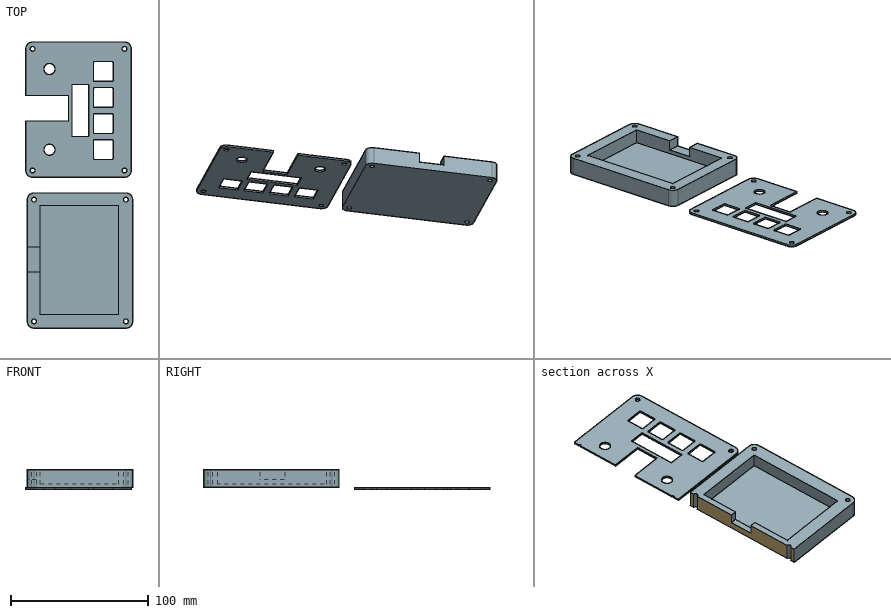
import cadquery as cq

WIDTH = 77.0
LENGTH = 98.6
CORNER_RADIUS = 5.0
SCREW_HOLE_DIAMETER = 3.3
SCREW_INSET = CORNER_RADIUS

CASE_HEIGHT = 13.0
POCKET_DEPTH = 10.2
POCKET_WIDTH = 57.1
POCKET_LENGTH = 79.2
POCKET_LEFT_WALL = 9.4
POCKET_OFFSET_Y = 0.5
NOTCH_LENGTH = 18.3
NOTCH_DEPTH = 7.3
CASE_NOTCH_OFFSET_Y = 0.8

PLATE_THICKNESS = 1.5
OVERALL_LENGTH = 208.5
PLATE_X = -1.0
PLATE_Y = OVERALL_LENGTH - LENGTH

PLATE_NOTCH_REACH = 31.0
PLATE_NOTCH_OFFSET_Y = 1.0
KNOB_HOLE_DIAMETER = 8.0
KNOB_FROM_LEFT = 17.3
KNOB_SPACING = 58.8
KNOB_OFFSET_Y = 0.2
DISPLAY_WIDTH = 11.9
DISPLAY_LENGTH = 37.7
DISPLAY_FROM_LEFT = 39.8
KEY_COUNT = 4
KEY_SIZE = 14.2
KEY_CORNER_RADIUS = 0.6
KEY_FROM_LEFT = 56.5
KEY_PITCH = 19.0
KEY_OFFSET_Y = -0.6

LEFT_SIDE = -WIDTH / 2


def rounded_slab(height):
    """Rounded rectangle with a screw hole in every corner, standing on Z = 0."""
    slab = cq.Workplane("XY").box(WIDTH, LENGTH, height, centered=(True, True, False))
    return (
        slab.edges("|Z")
        .fillet(CORNER_RADIUS)
        .faces(">Z")
        .workplane(origin=(0, 0, height))
        .rect(WIDTH - 2 * SCREW_INSET, LENGTH - 2 * SCREW_INSET, forConstruction=True)
        .vertices()
        .hole(SCREW_HOLE_DIAMETER)
    )


def block(size_x, size_y, height, center_x, center_y, bottom=0.0):
    """Rectangular cutting block."""
    solid = cq.Workplane("XY").box(size_x, size_y, height, centered=(True, True, False))
    return solid.translate((center_x, center_y, bottom))


def make_case():
    pocket = block(
        POCKET_WIDTH,
        POCKET_LENGTH,
        POCKET_DEPTH,
        LEFT_SIDE + POCKET_LEFT_WALL + POCKET_WIDTH / 2,
        POCKET_OFFSET_Y,
        CASE_HEIGHT - POCKET_DEPTH,
    )
    notch = block(
        POCKET_LEFT_WALL,
        NOTCH_LENGTH,
        NOTCH_DEPTH,
        LEFT_SIDE + POCKET_LEFT_WALL / 2,
        CASE_NOTCH_OFFSET_Y,
        CASE_HEIGHT - NOTCH_DEPTH,
    )
    return rounded_slab(CASE_HEIGHT).cut(pocket).cut(notch)


def key_opening(index):
    """One of the square, round-cornered key openings in a row along Y."""
    center_x = LEFT_SIDE + KEY_FROM_LEFT
    center_y = KEY_OFFSET_Y + (index - (KEY_COUNT - 1) / 2) * KEY_PITCH
    opening = block(KEY_SIZE, KEY_SIZE, PLATE_THICKNESS, center_x, center_y)
    return opening.edges("|Z").fillet(KEY_CORNER_RADIUS)


def make_plate():
    notch = block(
        PLATE_NOTCH_REACH,
        NOTCH_LENGTH,
        PLATE_THICKNESS,
        LEFT_SIDE + PLATE_NOTCH_REACH / 2,
        PLATE_NOTCH_OFFSET_Y,
    )
    display = block(
        DISPLAY_WIDTH,
        DISPLAY_LENGTH,
        PLATE_THICKNESS,
        LEFT_SIDE + DISPLAY_FROM_LEFT,
        KEY_OFFSET_Y,
    )
    knob_holes = (
        cq.Workplane("XY")
        .center(LEFT_SIDE + KNOB_FROM_LEFT, KNOB_OFFSET_Y)
        .rarray(2, KNOB_SPACING, 1, 2)
        .circle(KNOB_HOLE_DIAMETER / 2)
        .extrude(PLATE_THICKNESS)
    )
    plate = rounded_slab(PLATE_THICKNESS).cut(notch).cut(display).cut(knob_holes)
    for index in range(KEY_COUNT):
        plate = plate.cut(key_opening(index))
    return plate.translate((PLATE_X, PLATE_Y, -PLATE_THICKNESS))


case = make_case()
plate = make_plate()
result = cq.Compound.makeCompound([case.val(), plate.val()])